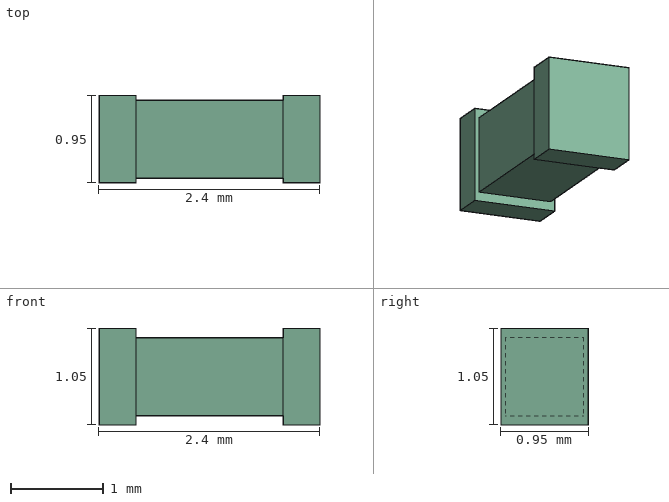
import cadquery as cq

overall_length = 2.4
cap_width = 0.95
cap_height = 1.05
cap_length = 0.4

core_side = 0.85
core_length = overall_length - 2 * cap_length
cap_center_offset = (overall_length - cap_length) / 2


def make_core():
    """Square bar centred on the origin, its ends touching the caps."""
    return cq.Workplane("XY").box(core_length, core_side, core_side)


def make_end_cap(center_x):
    """Rectangular block standing proud of the core on all four sides."""
    return cq.Workplane("XY").box(cap_length, cap_width, cap_height).translate((center_x, 0, 0))


core = make_core()
end_caps = []
for side in (-1, 1):
    end_caps.append(make_end_cap(side * cap_center_offset).val())

result = cq.Compound.makeCompound([core.val(), *end_caps])